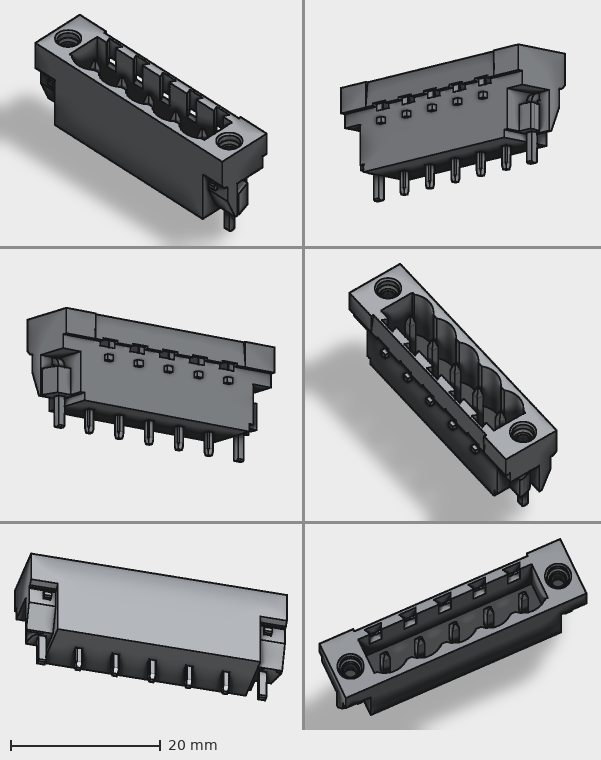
import cadquery as cq
import math

LENGTH = 35.4
HEIGHT = 12.05
FRONT_Y = -4.2
FLANGE_BACK_Y = 4.2
BACK_Y = 3.47
FLANGE_BOTTOM_Z = 8.53
POLES = 5
PIN_ROW_LENGTH = 20.32
PITCH = PIN_ROW_LENGTH / (POLES - 1)
AXIS_Y = -0.42
END_X = 15.25
TAIL_Z = -3.15

CORE_HALF_LENGTH = 14.02
WING_BOTTOM_Z = 1.05
SLAB_FRONT_Y = -3.2
SLAB_BACK_Y = -1.35
RECESS_TOP_Z = 6.62
STEP_TOP_Z = 7.68
STEP_Z = 7.1
STEP_EASE_Y = 0.07
STEP_EASE_Z = 0.18
TAPER_TOP_Z = 4.55
TAPER_BOTTOM_Y = -1.75
RECESS_WALL_X = 14.7
BOSS_TOP_Z = 4.7
BOSS_OUTLINE = [
    (-1.7, 1.35),
    (-1.7, 0.7),
    (-1.35, -0.45),
    (-1.2, -0.67),
    (-0.85, -1.0),
    (-0.32, -1.25),
    (0, SLAB_BACK_Y),
    (1.7, SLAB_BACK_Y),
    (2.45, -1.05),
    (1.7, 1.35),
]

CAVITY_LENGTH = 25.5
CAVITY_BACK_Y = 2.6
CAVITY_FRONT_Y = -2.62
CAVITY_FLOOR_Z = 3.55
SCALLOP_CHORD = 4.35
SCALLOP_DEPTH = 0.85

SLOT_INNER_WIDTH = 1.8
SLOT_OUTER_WIDTH = 2.45
SLOT_NECK_DEPTH = 0.18
SLOT_BOTTOM_Z = 7.93
WINDOW_TOP_Z = 8.85
BACK_LEAN = 0.35
BUMP_WIDTH = 0.95
BUMP_DEPTH = 0.67
BUMP_BOTTOM_Z = 6.0
BUMP_TOP_Z = 6.75

MOUTH_RADIUS = 1.77
MOUTH_DEPTH = 0.3
SCREW_HOLE_RADIUS = 1.5
INSERT_RADIUS = 2.12
INSERT_BOTTOM_Z = 7.08
INSERT_TOP_Z = 10.48
POCKET_TOP_Z = 10.9
THREAD_RADIUS = 0.95
THREAD_MOUTH_RADIUS = 1.17
THREAD_MOUTH_ANGLE = 90
THREAD_DEPTH = 2.83

PIN_SIZE = 1.0
PIN_TOP_Z = 11.2
PIN_CORNER = 0.18
PIN_TOP_TAPER_LENGTH = 1.35
PIN_TOP_TIP = 0.32
PIN_TAIL_TAPER_LENGTH = 0.92
PIN_TAIL_TIP = 0.6

WIRE = 1.0
BEND_INNER = 0.45
ANCHOR_END_Y = -3.8
ARM_TOP_Z = 6.55
ANCHOR_CHAMFER = 0.2

pole_xs = [i * PITCH - PIN_ROW_LENGTH / 2 for i in range(POLES)]
end_xs = [-END_X, END_X]


def box(x0, x1, y0, y1, z0, z1):
    return cq.Workplane("XY").box(x1 - x0, y1 - y0, z1 - z0, centered=False).translate((x0, y0, z0))


def side_profile(points, x0, x1):
    """Prism along X from (y, z) points."""
    return cq.Workplane("YZ").polyline(points).close().extrude(x1 - x0).translate((x0, 0, 0))


def housing_block():
    """Core and end wings, still without cavity and holes."""
    outline = [
        (FRONT_Y, 0),
        (BACK_Y, 0),
        (BACK_Y, FLANGE_BOTTOM_Z),
        (FLANGE_BACK_Y, FLANGE_BOTTOM_Z),
        (FLANGE_BACK_Y, HEIGHT),
        (FRONT_Y, HEIGHT),
    ]
    core = side_profile(outline, -CORE_HALF_LENGTH, CORE_HALF_LENGTH)
    recess_walls = box(-RECESS_WALL_X, RECESS_WALL_X, SLAB_BACK_Y, BACK_Y, WING_BOTTOM_Z, RECESS_TOP_Z)
    back_lean = side_profile(
        [(FLANGE_BACK_Y, FLANGE_BOTTOM_Z), (FLANGE_BACK_Y, HEIGHT), (FLANGE_BACK_Y - BACK_LEAN, HEIGHT)],
        -CAVITY_LENGTH / 2,
        CAVITY_LENGTH / 2,
    )
    wing_outline = [
        (FRONT_Y, HEIGHT),
        (FRONT_Y, STEP_TOP_Z),
        (FRONT_Y + STEP_TOP_Z - STEP_Z, STEP_Z),
        (SLAB_FRONT_Y - STEP_EASE_Y, STEP_Z),
        (SLAB_FRONT_Y, STEP_Z - STEP_EASE_Z),
        (SLAB_FRONT_Y, TAPER_TOP_Z),
        (TAPER_BOTTOM_Y, WING_BOTTOM_Z),
        (SLAB_BACK_Y, WING_BOTTOM_Z),
        (SLAB_BACK_Y, RECESS_TOP_Z),
        (BACK_Y, RECESS_TOP_Z),
        (BACK_Y, FLANGE_BOTTOM_Z),
        (FLANGE_BACK_Y, FLANGE_BOTTOM_Z),
        (FLANGE_BACK_Y, HEIGHT),
    ]
    wings = side_profile(wing_outline, -LENGTH / 2, LENGTH / 2)
    return wings.union(core).union(recess_walls).cut(back_lean)


def anchor_boss(x):
    """Faceted block around an anchor leg, against the back of the slab."""
    boss = cq.Workplane("XY").polyline(BOSS_OUTLINE).close().extrude(BOSS_TOP_Z - WING_BOTTOM_Z)
    return boss.translate((x, 0, WING_BOTTOM_Z))


def cavity():
    """Plug opening with one scallop per pole in its front wall."""
    half = CAVITY_LENGTH / 2
    outline = cq.Workplane("XY").moveTo(-half, CAVITY_BACK_Y).lineTo(-half, CAVITY_FRONT_Y)
    for x in pole_xs:
        outline = outline.lineTo(x - SCALLOP_CHORD / 2, CAVITY_FRONT_Y).threePointArc(
            (x, CAVITY_FRONT_Y - SCALLOP_DEPTH), (x + SCALLOP_CHORD / 2, CAVITY_FRONT_Y)
        )
    outline = outline.lineTo(half, CAVITY_FRONT_Y).lineTo(half, CAVITY_BACK_Y).close()
    return outline.extrude(HEIGHT - CAVITY_FLOOR_Z).translate((0, 0, CAVITY_FLOOR_Z))


def coding_slot(x):
    """Dovetail groove in the back wall of the cavity, with a window at its foot."""
    neck = SLOT_INNER_WIDTH / 2
    root = SLOT_OUTER_WIDTH / 2
    neck_y = CAVITY_BACK_Y + SLOT_NECK_DEPTH
    outline = [
        (x - neck, CAVITY_BACK_Y),
        (x + neck, CAVITY_BACK_Y),
        (x + neck, neck_y),
        (x + root, BACK_Y),
        (x - root, BACK_Y),
        (x - neck, neck_y),
    ]
    slot = cq.Workplane("XY").polyline(outline).close().extrude(HEIGHT - SLOT_BOTTOM_Z)
    window = box(x - root, x + root, BACK_Y, FLANGE_BACK_Y, SLOT_BOTTOM_Z, WINDOW_TOP_Z)
    return slot.translate((0, 0, SLOT_BOTTOM_Z)).union(window)


def back_bump(x):
    """Small block on the back of the housing, behind a pin."""
    half = BUMP_WIDTH / 2
    return box(x - half, x + half, BACK_Y, BACK_Y + BUMP_DEPTH, BUMP_BOTTOM_Z, BUMP_TOP_Z)


def insert_cylinder(x, radius, bottom_z, top_z):
    return cq.Workplane("XY", origin=(x, AXIS_Y, bottom_z)).circle(radius).extrude(top_z - bottom_z)


def insert_hole(x):
    """Pocket for the insert, reached from above by a screw hole with a conical mouth."""
    pocket = insert_cylinder(x, INSERT_RADIUS, INSERT_BOTTOM_Z, POCKET_TOP_Z)
    screw_hole = insert_cylinder(x, SCREW_HOLE_RADIUS, POCKET_TOP_Z, HEIGHT)
    mouth_base = cq.Vector(x, AXIS_Y, HEIGHT - MOUTH_DEPTH)
    mouth = cq.Workplane(cq.Solid.makeCone(SCREW_HOLE_RADIUS, MOUTH_RADIUS, MOUTH_DEPTH, pnt=mouth_base))
    return pocket.union(screw_hole).union(mouth)


def insert(x):
    """Round threaded insert with a blind, countersunk thread hole."""
    body = insert_cylinder(x, INSERT_RADIUS, INSERT_BOTTOM_Z, INSERT_TOP_Z).faces(">Z").workplane()
    return body.cskHole(2 * THREAD_RADIUS, 2 * THREAD_MOUTH_RADIUS, THREAD_MOUTH_ANGLE, THREAD_DEPTH)


def post(x, bottom_z, top_z):
    """Square post on the pin axis."""
    return cq.Workplane("XY", origin=(x, AXIS_Y, bottom_z)).rect(PIN_SIZE, PIN_SIZE).extrude(top_z - bottom_z)


def tapered_end(x, base_z, tip_z, tip_size):
    """Pyramid stub that narrows from the full pin size to its tip."""
    return (
        cq.Workplane("XY", origin=(x, AXIS_Y, base_z))
        .rect(PIN_SIZE, PIN_SIZE)
        .workplane(offset=tip_z - base_z)
        .rect(tip_size, tip_size)
        .loft(ruled=True)
    )


def pin(x):
    """Straight square contact, tapered at both ends, with bevelled corners below the housing."""
    tail_base_z = TAIL_Z + PIN_TAIL_TAPER_LENGTH
    top_base_z = PIN_TOP_Z - PIN_TOP_TAPER_LENGTH
    contact = post(x, 0, top_base_z).union(tapered_end(x, top_base_z, PIN_TOP_Z, PIN_TOP_TIP))
    bevelled_leg = post(x, TAIL_Z, 0).edges("|Z").chamfer(PIN_CORNER)
    tail_limit = post(x, tail_base_z, 0).union(tapered_end(x, tail_base_z, TAIL_Z, PIN_TAIL_TIP))
    return contact.union(bevelled_leg.intersect(tail_limit))


def anchor(x):
    """Wire that runs back through the slab and bends down to the board."""
    bend_outer = BEND_INNER + WIRE
    leg_back = AXIS_Y + WIRE / 2
    leg_front = AXIS_Y - WIRE / 2
    bend_y = leg_front - BEND_INNER
    bend_z = ARM_TOP_Z - bend_outer
    diagonal = math.sqrt(0.5)
    wire = (
        cq.Workplane("YZ")
        .moveTo(leg_front, TAIL_Z)
        .lineTo(leg_back, TAIL_Z)
        .lineTo(leg_back, bend_z)
        .threePointArc(
            (bend_y + bend_outer * diagonal, bend_z + bend_outer * diagonal), (bend_y, ARM_TOP_Z)
        )
        .lineTo(ANCHOR_END_Y, ARM_TOP_Z)
        .lineTo(ANCHOR_END_Y, ARM_TOP_Z - WIRE)
        .lineTo(bend_y, ARM_TOP_Z - WIRE)
        .threePointArc(
            (bend_y + BEND_INNER * diagonal, bend_z + BEND_INNER * diagonal), (leg_front, bend_z)
        )
        .close()
        .extrude(WIRE / 2, both=True)
    )
    wire = wire.faces("<Y or <Z").edges("|X").chamfer(ANCHOR_CHAMFER)
    return wire.translate((x, 0, 0))


inserts = [insert(x) for x in end_xs]
pins = [pin(x) for x in pole_xs]
anchors = [anchor(x) for x in end_xs]

housing = housing_block().cut(cavity())
for x in pole_xs:
    housing = housing.cut(coding_slot(x))
    housing = housing.union(back_bump(x))
for x in end_xs:
    housing = housing.union(anchor_boss(x)).cut(insert_hole(x))
for body in pins + anchors:
    housing = housing.cut(body)

result = cq.Compound.makeCompound([housing.val(), *[body.val() for body in inserts + pins + anchors]])